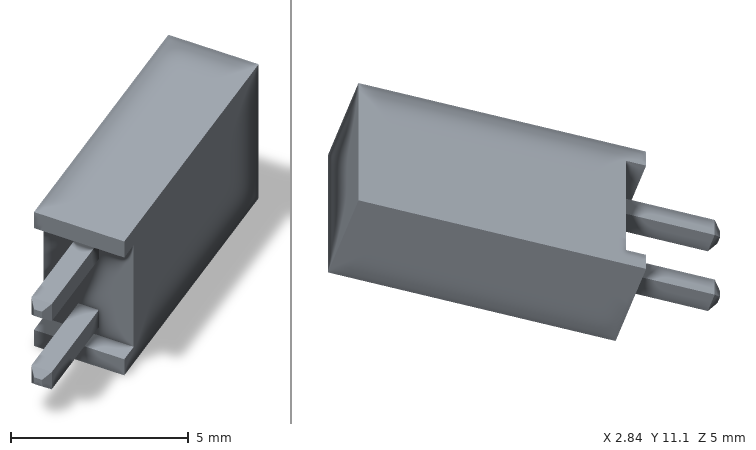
import cadquery as cq

total_length = 11.1
body_width = 2.84
body_height = 5.0

body_length = 8.5
lip_length = 0.6
lip_thickness = 0.6

pin_pitch = 2.54
pin_size = 0.64
tip_length = 0.22
tip_size = 0.24

lip_front = total_length - body_length
recess_floor = lip_front + lip_length
taper_start = tip_length


def make_housing():
    block = cq.Workplane("XY").box(
        body_width, body_length, body_height, centered=(True, False, True)
    )
    recess = cq.Workplane("XY").box(
        body_width, lip_length, body_height - 2 * lip_thickness, centered=(True, False, True)
    )
    return block.cut(recess).translate((0, lip_front, 0))


def make_pin(z):
    shaft = (
        cq.Workplane("XZ", origin=(0, recess_floor, z))
        .rect(pin_size, pin_size)
        .extrude(recess_floor - taper_start)
    )
    tip = (
        cq.Workplane("XZ", origin=(0, taper_start, z))
        .rect(pin_size, pin_size)
        .workplane(offset=tip_length)
        .rect(tip_size, tip_size)
        .loft(ruled=True)
    )
    return shaft.union(tip)


result = make_housing()
for side in (-1, 1):
    result = result.union(make_pin(side * pin_pitch / 2))